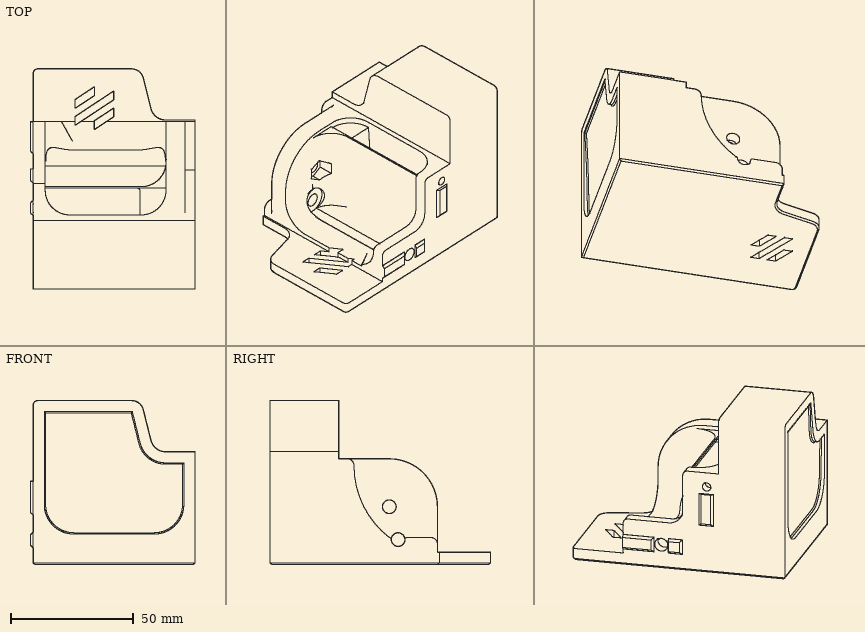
import cadquery as cq
import math

width = 65.9
depth = 89.7
height = 66.7
tower_depth = 28.0
body_back = 68.2
body_height = 43.1
plate_height = 5.0
bottom_chamfer = 0.7

step_drop = 20.8
slant_top = 43.95
slant_bottom = 49.2
left_round = 2.0
shoulder_round = 5.0
step_round = 6.0

frame = 4.6
recess_bottom = 12.4
recess_depth = 2.0
recess_top_depth = 0.9
recess_chamfer = 0.5
recess_bend = 17.7
recess_round = 12.0

left_wall = 4.9
mid_wall = 54.1
mid_wall_outer = 61.9
bay_front = 41.7
bay_round = 10.05
bay_floor_fillet = 1.0
ledge_height = 41.4
channel_floor = 7.0
channel_round = 11.0
relief_left = 11.6
relief_front = 60.4

opening_front = 30.2
opening_floor = 40.45
cavity_right = 43.5
cavity_floor = 30.1
cavity_fillet = 2.8
cavity_floor_back = 34.6
cavity_side_fillet = 1.0
cavity_draft = 0.7

rod_y, rod_z = 52.1, 10.1
rod_hole = 5.5
rod_trough = 11.0
hinge_y, hinge_z = 48.5, 23.5
nut_flats = 8.3
nut_depth = 3.1
pin_y, pin_z = 33.0, 37.0
pin_hole = 3.5
pin_depth = 4.5

sill_height = 19.9
sill_front = 43.1
sill_round = 6.0
wall_round = 2.0
ledge_front = sill_front - wall_round

rail_height = 11.0
rail_back_round = 3.0
rail_slot_round = 0.9
scoop_front = 34.2
scoop_round = 2.9

rib_height = 1.1
rib_bevel = 1.0
upright_rib_y = (30.05, 36.15)
upright_rib_z = (20.2, 33.9)
level_rib_spans = ((43.2, 49.0), (55.2, body_back))
level_rib_z = (6.8, 13.1)

slash_left = 17.1
slash_width = 7.8
slash_height = 3.5
slash_slope = 0.66
slash_pitch = 6.9
slash_base = 66.7


def box(x0, x1, y0, y1, z0, z1):
    return cq.Workplane("XY").box(x1 - x0, y1 - y0, z1 - z0, centered=False).translate((x0, y0, z0))


def side_prism(sketch, x0, x1):
    """Extrude a closed YZ sketch from x0 to x1."""
    return sketch.extrude(x1 - x0).translate((x0, 0, 0))


def arc(sketch, center, radius, start, end):
    """Continue a sketch along a circle, from one angle to another in degrees."""

    def point(angle):
        turn = math.radians(angle)
        return center[0] + radius * math.cos(turn), center[1] + radius * math.sin(turn)

    return sketch.threePointArc(point((start + end) / 2), point(end))


def cross_hole(diameter, y, z, x0, x1):
    return side_prism(cq.Workplane("YZ").center(y, z).circle(diameter / 2), x0, x1)


def stepped_prism(plane, total, length):
    """Prism of the stepped outline; total is its high side."""
    low = total - step_drop
    low_side = [(width, 0), (width, low), (slant_bottom, low)]
    high_side = [(slant_top, total), (0, total), (0, 0)]
    prism = cq.Workplane(plane).polyline(low_side + high_side).close().extrude(length)
    along = {"XY": "|Z", "XZ": "|Y"}[plane]

    def round_corner(solid, x, high, radius):
        point = (x, high, length / 2) if plane == "XY" else (x, -length / 2, high)
        return solid.edges(along).edges(cq.selectors.NearestToPointSelector(point)).fillet(radius)

    prism = round_corner(prism, 0, total, left_round)
    prism = round_corner(prism, slant_top, total, shoulder_round)
    return round_corner(prism, slant_bottom, low, step_round)


def outer_block():
    """Front tower, lower rear block and base plate, beveled around the bottom."""
    tower = stepped_prism("XZ", height, tower_depth).translate((0, tower_depth, 0))
    plate = stepped_prism("XY", depth, plate_height)
    block = tower.union(box(0, width, 0, body_back, 0, body_height)).union(plate)
    return block.faces("<Z").chamfer(bottom_chamfer)


def recess_outline():
    """Prism of the recess outline, which keeps an even rim inside the stepped outline."""
    left, right = frame, width - frame
    top = height - frame
    low = top - step_drop
    lean = math.atan2(slant_bottom - slant_top, step_drop)
    shift = frame * (1 - math.sin(lean)) / math.cos(lean)
    high_x, low_x = slant_top - shift, slant_bottom - shift
    bend = step_round + frame
    half_turn = (math.pi / 2 - lean) / 2
    tangent = bend * math.tan(half_turn)
    bend_center = (low_x + tangent, low + bend)
    bend_start = (low_x - tangent * math.sin(lean), low + tangent * math.cos(lean))
    r = recess_round
    foot = recess_bottom + r
    outline = cq.Workplane("XZ").moveTo(left, top).lineTo(high_x, top).lineTo(*bend_start)
    outline = arc(outline, bend_center, bend, 180 + math.degrees(lean), 270)
    outline = outline.lineTo(right, low).lineTo(right, foot)
    outline = arc(outline, (right - r, foot), r, 0, -90)
    outline = outline.lineTo(left + r, recess_bottom)
    outline = arc(outline, (left + r, foot), r, -90, -180)
    return outline.close().extrude(-recess_depth)


def front_recess():
    """Recess with a floor that curves forward above the bend and a chamfer around the floor."""
    rise = height - frame - recess_bend
    forward = recess_depth - recess_top_depth
    profile = (
        cq.Workplane("YZ")
        .moveTo(0, recess_bottom)
        .lineTo(recess_depth, recess_bottom)
        .lineTo(recess_depth, recess_bend)
        .threePointArc(
            (recess_depth - forward / 4, recess_bend + rise / 2),
            (recess_top_depth, recess_bend + rise),
        )
        .lineTo(0, recess_bend + rise)
        .close()
    )
    recess = recess_outline().intersect(side_prism(profile, 0, width))

    def bounds_floor(edge):
        ends_inside = all(vertex.Y > recess_top_depth / 2 for vertex in edge.Vertices())
        on_bend = abs(edge.Center().z - recess_bend) < recess_depth and edge.BoundingBox().xlen > width / 2
        return ends_inside and not on_bend

    return recess.edges().filter(bounds_floor).chamfer(recess_chamfer)


def bay():
    """Space between the side walls, with one rounded front corner, and the open ledge above it."""
    well = box(left_wall, mid_wall, bay_front, body_back, plate_height, body_height)
    well = well.edges("|Z and >X and <Y").fillet(bay_round)
    return well.union(box(left_wall, mid_wall, ledge_front, body_back, ledge_height, body_height))


def bay_floor():
    """Raised floor with rounded sides behind the rod trough, and the fillet at the front wall."""
    top = channel_floor + channel_round
    floor = box(left_wall, mid_wall, rod_y, body_back, plate_height, top)
    channel = box(left_wall, mid_wall, rod_y, body_back, channel_floor, body_height)
    floor = floor.cut(channel.edges("|Y and <Z").fillet(channel_round))
    relief_right = left_wall + channel_round
    relief = (
        cq.Workplane("XY", origin=(0, 0, channel_floor))
        .polyline([(relief_left, body_back), (relief_right, relief_front), (relief_right, body_back)])
        .close()
        .extrude(channel_round)
    )
    r = bay_floor_fillet
    cove = cq.Workplane("YZ").moveTo(bay_front, plate_height).lineTo(bay_front + r, plate_height)
    cove = arc(cove, (bay_front + r, plate_height + r), r, 270, 180)
    cove = side_prism(cove.close(), left_wall, mid_wall)
    return floor.cut(relief).union(cove)


def opening():
    """Round-cornered opening in the top of the block with the sloped cavity below it."""
    plan = box(left_wall, mid_wall, opening_front, ledge_front + bay_round, cavity_floor, body_height)
    plan = plan.edges("|Z and <Y").fillet(bay_round)
    shallow = box(0, width, 0, ledge_front, opening_floor, body_height)
    cavity = side_prism(
        cq.Workplane("YZ")
        .moveTo(opening_front, cavity_floor)
        .lineTo(cavity_floor_back, cavity_floor)
        .lineTo(ledge_front, opening_floor)
        .lineTo(opening_front, opening_floor)
        .close(),
        left_wall,
        cavity_right,
    )
    back_edge = cq.selectors.NearestToPointSelector((cavity_right / 2, cavity_floor_back, cavity_floor))
    cavity = cavity.edges(back_edge).fillet(cavity_fillet)
    drafted = (
        cq.Workplane("XZ")
        .moveTo(left_wall, cavity_floor)
        .lineTo(cavity_right - cavity_draft, cavity_floor)
        .lineTo(cavity_right, opening_floor)
        .lineTo(left_wall, opening_floor)
        .close()
        .extrude(-body_back)
    )
    cavity = cavity.intersect(drafted)
    side_edge = cq.selectors.NearestToPointSelector((cavity_right, opening_front, cavity_floor))
    cavity = cavity.edges(side_edge).fillet(cavity_side_fillet)
    return plan.intersect(shallow.union(cavity))


def hinge_wall_crown():
    """Material outside the round rear top of the walls."""
    r = body_back - hinge_y
    center_z = body_height - r
    crown = arc(cq.Workplane("YZ").moveTo(body_back, center_z), (hinge_y, center_z), r, 0, 90)
    return side_prism(crown.lineTo(body_back, body_height).close(), left_wall, width)


def left_wall_cut():
    """Space above the low rear sill of the left wall."""
    s, w = sill_round, wall_round
    cut = cq.Workplane("YZ").moveTo(body_back, sill_height - w)
    cut = arc(cut, (body_back - w, sill_height - w), w, 0, 90)
    cut = cut.lineTo(sill_front + s, sill_height)
    cut = arc(cut, (sill_front + s, sill_height + s), s, 270, 180)
    cut = cut.lineTo(sill_front, body_height - w)
    cut = arc(cut, (ledge_front, body_height - w), w, 0, 90)
    return side_prism(cut.lineTo(body_back, body_height).close(), 0, left_wall)


def rail_cut():
    """Space above the low rail outside the hinge wall, with a rod slot and a scoop up to the top."""
    b, s, t = rail_back_round, rail_slot_round, scoop_round
    slot_back = rod_y + rod_hole / 2
    slot_front = rod_y - rod_hole / 2
    scoop_top = body_height - t
    run = slot_front - s - scoop_front
    rise = scoop_top - rail_height
    scoop_radius = (run**2 + rise**2) / (2 * run)
    scoop_turn = 2 * math.degrees(math.atan2(run, rise))

    cut = cq.Workplane("YZ").moveTo(body_back, rail_height - b)
    cut = arc(cut, (body_back - b, rail_height - b), b, 0, 90)
    cut = cut.lineTo(slot_back + s, rail_height)
    cut = arc(cut, (slot_back + s, rail_height - s), s, 90, 180)
    cut = cut.lineTo(slot_front, rail_height - s)
    cut = arc(cut, (slot_front - s, rail_height - s), s, 0, 90)
    cut = arc(cut, (scoop_front + scoop_radius, scoop_top), scoop_radius, 180 + scoop_turn, 180)
    cut = arc(cut, (scoop_front - t, scoop_top), t, 0, 90)
    return side_prism(cut.lineTo(body_back, body_height).close(), mid_wall_outer, width)


def nut_trap():
    """Hexagonal pocket in the hinge wall, cleared through the rounded bay corner."""
    sketch = cq.Workplane("YZ").center(hinge_y, hinge_z).transformed(rotate=(0, 0, 90))
    corners = nut_flats / math.cos(math.pi / 6)
    return side_prism(sketch.polygon(6, corners), mid_wall - bay_round, mid_wall + nut_depth)


def rib(y_span, z_span, beveled):
    """Rib on the left face; the outer edges on the named sides are beveled."""
    block = box(-rib_height, 0, *y_span, *z_span)
    return block.faces("<X").edges(beveled).chamfer(rib_bevel)


def slash(x, y, length):
    """Slanted slot through the plate, from its lowest corner."""
    rise = length * slash_slope
    lower = [(x, y), (x + length, y + rise)]
    upper = [(x + length, y + rise + slash_height), (x, y + slash_height)]
    return cq.Workplane("XY").polyline(lower + upper).close().extrude(body_height)


result = outer_block().cut(front_recess())
result = result.cut(bay()).union(bay_floor())
result = result.cut(opening()).cut(hinge_wall_crown())
result = result.cut(left_wall_cut()).cut(rail_cut())

result = result.cut(cross_hole(rod_trough, rod_y, rod_z, left_wall, mid_wall))
result = result.cut(cross_hole(rod_hole, rod_y, rod_z, 0, width))
result = result.cut(cross_hole(rod_hole, hinge_y, hinge_z, mid_wall, width))
result = result.cut(cross_hole(pin_hole, pin_y, pin_z, 0, pin_depth))
result = result.cut(nut_trap())

result = result.union(rib(upright_rib_y, upright_rib_z, "<Y or >Y or <Z"))
for rib_span in level_rib_spans:
    result = result.union(rib(rib_span, level_rib_z, "<Y or <Z or >Z"))

slash_middle = slash_left + slash_width
result = result.cut(slash(slash_left, slash_base, 2 * slash_width))
result = result.cut(slash(slash_left, slash_base + slash_pitch, slash_width))
result = result.cut(slash(slash_middle, slash_base + slash_width * slash_slope - slash_pitch, slash_width))